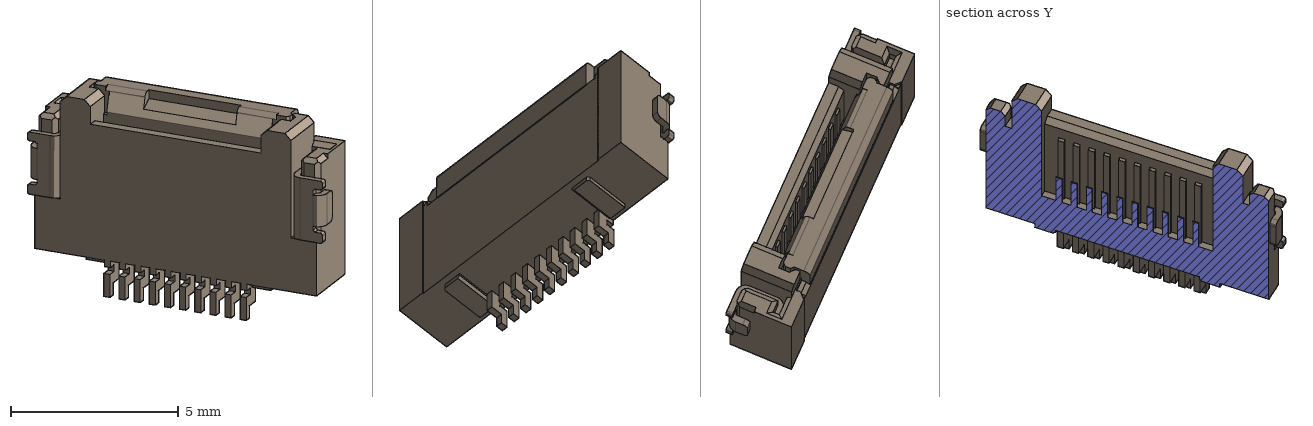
import cadquery as cq

OVERALL_X = 9.75
OVERALL_Z = 6.28
BACK_Y = 2.05
EPS = 0.1

BODY_HALF_X = 4.66
BODY_FRONT_Y = 0.04
BODY_BOTTOM_Z = 1.15
SHOULDER_Z = 5.44
EDGE_CHAMFER = 0.15

TOWER_OUTER_X = 3.81
TOWER_INNER_X = 2.82
TOWER_BACK_Y = 1.69
TOWER_TOP_Z = 6.2
TOWER_CHAMFER = 0.195

CAVITY_FRONT_Y = 0.54
CAVITY_BACK_Y = 0.96
CAVITY_FLOOR_Z = 2.44
CAVITY_LEAD_IN = 0.18

COVER_HALF_X = 3.14
COVER_BACK_Y = 2.0
COVER_BACK_RADIUS = 0.2
COVER_WING_FRONT_Y = 1.13
HOOK_HALF_X = 3.23
HOOK_FRONT_Y = 1.23
HOOK_BACK_Y = 1.39
HOOK_CHAMFER = HOOK_HALF_X - COVER_HALF_X
LIP_HALF_X = 2.7
LIP_FRONT_Z = 6.13
LIP_FOOT_Z = 5.53
LIP_RADIUS = 0.18
LIP_ROUND_Y = 1.3
RELIEF_HALF_X = 1.52
RELIEF_BACK_Y = 1.41
RELIEF_FRONT_Y = 1.0
RELIEF_KNEE_Z = 6.0
RELIEF_FOOT_Z = 5.77

HOOK_POCKET_X = 3.32
HOOK_POCKET_FRONT_Y = 1.05
HOOK_POCKET_BACK_Y = 1.39
HOOK_POCKET_NECK_X = 3.17

STEP_HALF_X = 3.54
STEP_Z = 5.265
STEP_FLARE = 0.15
STEP_FRONT_Y = 1.73
STEP_BACK_Y = 2.02

CLIP_THICKNESS = 0.2
CLIP_BOTTOM_Z = 2.88
CLIP_TOP_Z = 4.875
CLIP_BEND_RADIUS = 0.32
CLIP_BACK_Y = 1.54
CLIP_TAIL_X = 4.41
CLIP_CORNER = 0.08
TAB_BOTTOM_Z = 3.38
TAB_TOP_Z = 4.39
TAB_BACK_Y = 0.7
TAB_CORNER = 0.16
NOTCH_X = 4.56
NOTCH_BOTTOM_Z = 3.21
NOTCH_TOP_Z = 4.59
NOTCH_CORNER = 0.06
FINGER_WALL_Y = 0.83

CONTACT_COUNT = 10
CONTACT_ROW_SPAN = 4.5
CONTACT_PITCH = CONTACT_ROW_SPAN / (CONTACT_COUNT - 1)
CONTACT_WIDTH = 0.2
LEG_BACK_Y = 0.65
LEG_NOTCH_Y = 0.3
LEG_NOTCH_BOTTOM_Z = 0.74
LEG_NOTCH_TOP_Z = 0.95
LEG_BOTTOM_Z = 0.39
FOOT_BACK_Y = 0.24
BEAM_FACE_Y = 0.6
BEAM_TOP_Z = 4.875
BEAM_TIP = 0.05
POST_FRONT_Y = 0.73
POST_BACK_Y = 0.78
POST_HEIGHT = 0.975

PAD_INNER_X = 2.37
PAD_OUTER_X = 3.05
PAD_FRONT_Y = 0.24
PAD_BACK_Y = 1.8
PAD_BOTTOM_Z = 0.99
PAD_CHAMFER = 0.08


def block(x0, x1, y0, y1, z0, z1):
    """Box between two opposite corners."""
    return cq.Workplane("XY").box(x1 - x0, y1 - y0, z1 - z0, centered=False).translate((x0, y0, z0))


def prism_z(points, z0, z1):
    """Vertical prism over an (x, y) outline."""
    return cq.Workplane("XY").workplane(offset=z0).polyline(points).close().extrude(z1 - z0)


def prism_x(points, half_width, x_mid=0):
    """Prism along X, centred on x_mid, over a (y, z) outline."""
    outline = cq.Workplane("YZ").workplane(offset=x_mid).polyline(points).close()
    return outline.extrude(half_width, both=True)


def mirrored_outline(half):
    """Closed (x, y) outline from its +X half."""
    return half + [(-x, y) for x, y in reversed(half)]


def both_ends(left):
    """The left-end solid together with its mirror image."""
    return left.union(left.mirror("YZ"))


def make_finger_pocket():
    """Space cut from the left shoulder for the finger and the clip around it."""
    return block(
        -BODY_HALF_X - EPS, -TOWER_OUTER_X, BODY_FRONT_Y - EPS, CLIP_BACK_Y,
        CLIP_BOTTOM_Z, SHOULDER_Z + EPS,
    )


def make_finger():
    """Left finger that the clip wraps, with the outer wall behind it."""
    inner_x = -TOWER_OUTER_X - CLIP_THICKNESS
    finger = block(
        -BODY_HALF_X, inner_x, CLIP_THICKNESS, CLIP_BACK_Y - CLIP_THICKNESS,
        CLIP_BOTTOM_Z, SHOULDER_Z,
    )
    finger = finger.faces(">Z").edges().chamfer(EDGE_CHAMFER)
    finger = finger.edges("|Z and <Y").chamfer(EDGE_CHAMFER)
    wall = block(-BODY_HALF_X, -CLIP_TAIL_X, FINGER_WALL_Y, CLIP_BACK_Y, CLIP_BOTTOM_Z, SHOULDER_Z)
    return finger.union(wall)


def make_clip_lead_in():
    """Flared mouth of the slot that takes the tail of the left clip."""
    length = CLIP_TAIL_X - TOWER_OUTER_X
    mid_y = CLIP_BACK_Y - CLIP_THICKNESS / 2
    return (
        cq.Workplane("XY", origin=(-TOWER_OUTER_X - length / 2, mid_y, SHOULDER_Z - EDGE_CHAMFER))
        .rect(length, CLIP_THICKNESS)
        .workplane(offset=EDGE_CHAMFER)
        .center(-EDGE_CHAMFER / 2, 0)
        .rect(length + EDGE_CHAMFER, CLIP_THICKNESS + 2 * EDGE_CHAMFER)
        .loft()
    )


def make_tower():
    """Left end tower, with a chamfered top and the pocket for the cover hook."""
    tower = block(
        -TOWER_OUTER_X, -TOWER_INNER_X, BODY_FRONT_Y, TOWER_BACK_Y, SHOULDER_Z - EPS, TOWER_TOP_Z
    )
    tower = tower.faces(">Z").edges("|Y").chamfer(TOWER_CHAMFER)
    neck_y = HOOK_POCKET_BACK_Y + HOOK_POCKET_X - HOOK_POCKET_NECK_X
    pocket = prism_z(
        [
            (-TOWER_INNER_X + EPS, HOOK_POCKET_FRONT_Y),
            (-HOOK_POCKET_X, HOOK_POCKET_FRONT_Y),
            (-HOOK_POCKET_X, HOOK_POCKET_BACK_Y),
            (-HOOK_POCKET_NECK_X, neck_y),
            (-HOOK_POCKET_NECK_X, TOWER_BACK_Y + EPS),
            (-TOWER_INNER_X + EPS, TOWER_BACK_Y + EPS),
        ],
        SHOULDER_Z, TOWER_TOP_Z + EPS,
    )
    return tower.cut(pocket)


def make_back_step():
    """Space behind the towers: its ends flare outwards and its floor slopes down to the back."""
    flare_y = STEP_BACK_Y - STEP_FLARE
    wide_x = STEP_HALF_X + STEP_FLARE
    half = [
        (STEP_HALF_X, STEP_FRONT_Y),
        (STEP_HALF_X, flare_y),
        (wide_x, STEP_BACK_Y),
    ]
    space = prism_z(mirrored_outline(half), STEP_Z, SHOULDER_Z + EPS)
    slope = prism_x(
        [(flare_y, STEP_Z), (STEP_BACK_Y, STEP_Z), (STEP_BACK_Y, STEP_Z - STEP_FLARE)], STEP_HALF_X
    )
    back = block(-wide_x, wide_x, STEP_BACK_Y, BACK_Y + EPS, BODY_BOTTOM_Z - EPS, SHOULDER_Z + EPS)
    return space.union(slope).union(back)


def make_cavity():
    """Mating cavity with a sloped lead-in along the front wall."""
    lead_in_y = CAVITY_FRONT_Y - CAVITY_LEAD_IN
    return prism_x(
        [
            (CAVITY_FRONT_Y, CAVITY_FLOOR_Z),
            (CAVITY_BACK_Y, CAVITY_FLOOR_Z),
            (CAVITY_BACK_Y, SHOULDER_Z),
            (lead_in_y, SHOULDER_Z),
            (CAVITY_FRONT_Y, SHOULDER_Z - CAVITY_LEAD_IN),
        ],
        TOWER_INNER_X,
    )


def make_cover():
    """Cover with a rounded back, hooked wings, a sloped lip and a central relief."""
    half = [
        (COVER_HALF_X, COVER_WING_FRONT_Y),
        (HOOK_HALF_X, HOOK_FRONT_Y),
        (HOOK_HALF_X, HOOK_BACK_Y),
        (COVER_HALF_X, HOOK_BACK_Y + HOOK_CHAMFER),
        (COVER_HALF_X, COVER_BACK_Y),
    ]
    plate = prism_z(mirrored_outline(half), STEP_Z - EPS, OVERALL_Z)
    plate = plate.edges("|X and >Y and >Z").fillet(COVER_BACK_RADIUS)

    throat = block(-TOWER_INNER_X, TOWER_INNER_X, 0, LIP_ROUND_Y, SHOULDER_Z, OVERALL_Z + EPS)
    lip = (
        cq.Workplane("YZ")
        .moveTo(LIP_ROUND_Y, STEP_Z)
        .lineTo(LIP_ROUND_Y, OVERALL_Z)
        .radiusArc((COVER_WING_FRONT_Y, LIP_FRONT_Z), -LIP_RADIUS)
        .lineTo(CAVITY_BACK_Y, LIP_FOOT_Z)
        .lineTo(CAVITY_BACK_Y, STEP_Z)
        .close().extrude(TOWER_INNER_X, both=True)
    )
    gap = block(-TOWER_INNER_X, -LIP_HALF_X, 0, COVER_WING_FRONT_Y, SHOULDER_Z, OVERALL_Z)
    relief = prism_x(
        [
            (RELIEF_BACK_Y, OVERALL_Z + EPS),
            (RELIEF_BACK_Y, RELIEF_KNEE_Z),
            (RELIEF_FRONT_Y, RELIEF_FOOT_Z),
            (0, RELIEF_FOOT_Z),
            (0, OVERALL_Z + EPS),
        ],
        RELIEF_HALF_X,
    )
    return plate.cut(throat).union(lip.cut(both_ends(gap))).cut(relief)


def make_clip():
    """Left clip: a plate bent around the finger, with a tab folded back along the housing side."""
    t = CLIP_THICKNESS
    left_x = -OVERALL_X / 2
    right_x = -TOWER_OUTER_X
    outer_r = CLIP_BEND_RADIUS
    inner_r = outer_r - t
    height = CLIP_TOP_Z - CLIP_BOTTOM_Z
    plate = (
        cq.Workplane("XY", origin=(0, 0, CLIP_BOTTOM_Z))
        .moveTo(left_x, 0)
        .lineTo(right_x - outer_r, 0)
        .radiusArc((right_x, outer_r), -outer_r)
        .lineTo(right_x, CLIP_BACK_Y - outer_r)
        .radiusArc((right_x - outer_r, CLIP_BACK_Y), -outer_r)
        .lineTo(-CLIP_TAIL_X, CLIP_BACK_Y)
        .lineTo(-CLIP_TAIL_X, CLIP_BACK_Y - t)
        .lineTo(right_x - outer_r, CLIP_BACK_Y - t)
        .radiusArc((right_x - t, CLIP_BACK_Y - outer_r), inner_r)
        .lineTo(right_x - t, outer_r)
        .radiusArc((right_x - outer_r, t), inner_r)
        .lineTo(left_x, t)
        .close().extrude(height)
    )
    gap = block(left_x - EPS, -NOTCH_X, -EPS, t + EPS, NOTCH_BOTTOM_Z, NOTCH_TOP_Z)
    gap = gap.edges("|Y and >X").chamfer(NOTCH_CORNER)
    plate = plate.cut(gap).edges("|Y and <X").fillet(CLIP_CORNER)

    bend_r = OVERALL_X / 2 - NOTCH_X
    tab = (
        cq.Workplane("XY", origin=(0, 0, TAB_BOTTOM_Z))
        .moveTo(-NOTCH_X + NOTCH_CORNER, 0)
        .lineTo(-NOTCH_X, 0)
        .radiusArc((left_x, bend_r), bend_r)
        .lineTo(left_x, TAB_BACK_Y)
        .lineTo(left_x + t, TAB_BACK_Y)
        .lineTo(left_x + t, bend_r)
        .radiusArc((-NOTCH_X, t), t - bend_r)
        .lineTo(-NOTCH_X + NOTCH_CORNER, t)
        .close().extrude(TAB_TOP_Z - TAB_BOTTOM_Z)
    )
    tab = tab.edges("|X and >Y").fillet(TAB_CORNER)
    return plate.union(tab)


def make_contact(x):
    """Contact at x: a stepped solder leg below and a beam and a post inside the cavity."""
    leg = [
        (BODY_FRONT_Y, BODY_BOTTOM_Z + EPS),
        (BODY_FRONT_Y, LEG_NOTCH_TOP_Z),
        (LEG_NOTCH_Y, LEG_NOTCH_TOP_Z),
        (LEG_NOTCH_Y, LEG_NOTCH_BOTTOM_Z),
        (0, LEG_NOTCH_BOTTOM_Z),
        (0, 0),
        (FOOT_BACK_Y, 0),
        (FOOT_BACK_Y, LEG_BOTTOM_Z),
        (LEG_BACK_Y, LEG_BOTTOM_Z),
        (LEG_BACK_Y, BODY_BOTTOM_Z + EPS),
    ]
    root_z = CAVITY_FLOOR_Z - EPS
    beam = [
        (CAVITY_FRONT_Y - EPS, root_z),
        (BEAM_FACE_Y, root_z),
        (BEAM_FACE_Y, BEAM_TOP_Z - BEAM_TIP),
        (CAVITY_FRONT_Y, BEAM_TOP_Z),
        (CAVITY_FRONT_Y - EPS, BEAM_TOP_Z),
    ]
    post = [
        (POST_FRONT_Y, root_z),
        (POST_BACK_Y, root_z),
        (POST_BACK_Y, CAVITY_FLOOR_Z + POST_HEIGHT),
        (POST_FRONT_Y, CAVITY_FLOOR_Z + POST_HEIGHT),
    ]
    contact = prism_x(leg, CONTACT_WIDTH / 2, x)
    for outline in (beam, post):
        contact = contact.union(prism_x(outline, CONTACT_WIDTH / 2, x))
    return contact


def make_pad():
    """Right standoff pad, chamfered on its inner lower edge and its outer back edge."""
    pad = block(
        PAD_INNER_X, PAD_OUTER_X, PAD_FRONT_Y, PAD_BACK_Y, PAD_BOTTOM_Z, BODY_BOTTOM_Z + EPS
    )
    pad = pad.edges("<X and <Z").chamfer(PAD_CHAMFER)
    return pad.edges(">X and >Y").chamfer(PAD_CHAMFER)


housing = block(-BODY_HALF_X, BODY_HALF_X, BODY_FRONT_Y, BACK_Y, BODY_BOTTOM_Z, SHOULDER_Z)
housing = housing.cut(both_ends(make_finger_pocket()))
housing = housing.union(both_ends(make_finger()))
housing = housing.cut(both_ends(make_clip_lead_in()))
housing = housing.union(both_ends(make_tower()))
housing = housing.cut(make_back_step()).cut(make_cavity())

result = housing.union(make_cover())
result = result.union(both_ends(make_clip()))
result = result.union(both_ends(make_pad()))

for i in range(CONTACT_COUNT):
    contact_x = i * CONTACT_PITCH - CONTACT_ROW_SPAN / 2
    result = result.union(make_contact(contact_x))